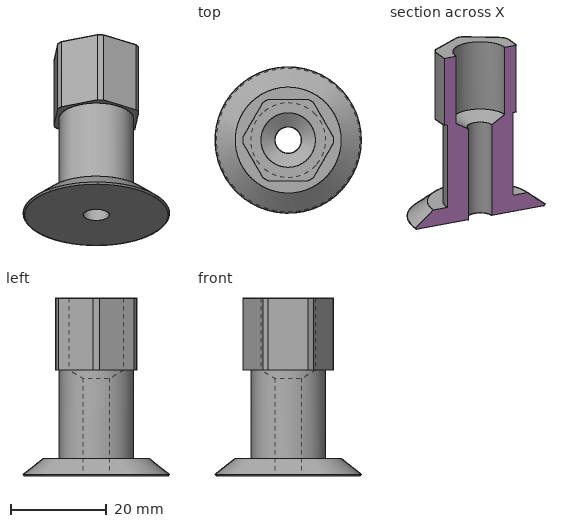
import cadquery as cq
import math

total_height = 37.2
flange_height = 3.72
nut_height = 15.05
nut_base = total_height - nut_height

flange_diameter = 30.6
flange_top_diameter = 22.15
flange_bottom_diameter = 30.0
rim_height = 0.37

stem_diameter = 15.62
hex_across_flats = 17.0
hex_across_rounded_corners = 18.95

bore_diameter = 11.4
through_hole_diameter = 5.45
bore_depth = nut_height
drill_point_angle = 118.0


def make_flange_and_stem():
    stem_radius = stem_diameter / 2
    profile = [
        (0, 0),
        (flange_bottom_diameter / 2, 0),
        (flange_diameter / 2, rim_height),
        (flange_top_diameter / 2, flange_height),
        (stem_radius, flange_height),
        (stem_radius, nut_base),
        (0, nut_base),
    ]
    return cq.Workplane("XZ").polyline(profile).close().revolve(360, (0, 0), (0, 1))


def make_hex_head():
    """Hexagon with flats facing +Y and -Y and its corners turned to a cylinder."""
    across_sharp_corners = hex_across_flats / math.cos(math.radians(30))
    head_plane = cq.Workplane("XY").workplane(offset=nut_base)
    hexagon = head_plane.polygon(6, across_sharp_corners).extrude(nut_height)
    turned_blank = head_plane.circle(hex_across_rounded_corners / 2).extrude(nut_height)
    return hexagon.intersect(turned_blank)


def make_bore():
    bore_radius = bore_diameter / 2
    hole_radius = through_hole_diameter / 2
    bore_floor = total_height - bore_depth
    cone_depth = (bore_radius - hole_radius) / math.tan(math.radians(drill_point_angle / 2))
    profile = [
        (0, 0),
        (hole_radius, 0),
        (hole_radius, bore_floor - cone_depth),
        (bore_radius, bore_floor),
        (bore_radius, total_height),
        (0, total_height),
    ]
    return cq.Workplane("XZ").polyline(profile).close().revolve(360, (0, 0), (0, 1))


result = make_flange_and_stem().union(make_hex_head()).cut(make_bore())